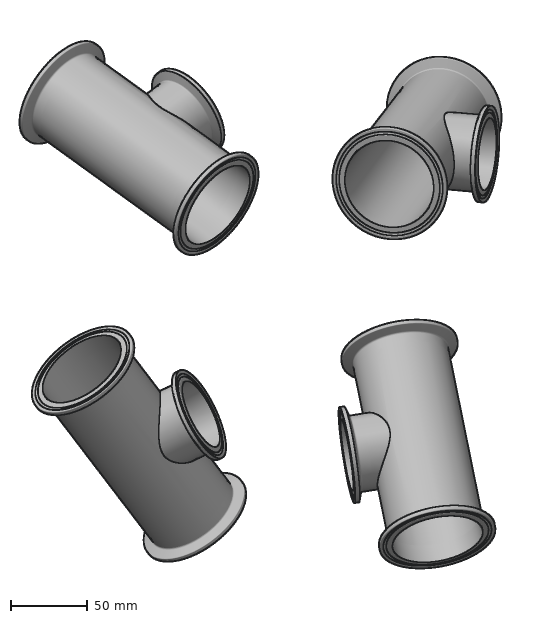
import cadquery as cq
import math

RUN_LENGTH = 144.5
RUN_TUBE_R = 63.5 / 2
RUN_BORE_R = 60.2 / 2
RUN_RIM_R = 77.5 / 2

BRANCH_REACH = 47.5
BRANCH_TUBE_R = 50.9 / 2
BRANCH_BORE_R = 47.5 / 2
BRANCH_RIM_R = 63.9 / 2

FERRULE_LENGTH = 12.7
RIM_WIDTH = 3.0
CLAMP_ANGLE = math.radians(19)
NECK_FILLET = 1.0
RUN_RIM_FILLET = 0.6

GROOVE_INSET = 3.6
GROOVE_HALF_WIDTH = 1.0
GROOVE_DEPTH = 1.3
LIP_RADIUS = 0.7

EDGE_MARGIN = 0.01


def edges_at_height(radius, z):
    """Selector for edges within this radius of the Z axis at height z."""
    reach = radius + EDGE_MARGIN
    low = (-reach, -reach, z - EDGE_MARGIN)
    high = (reach, reach, z + EDGE_MARGIN)
    return cq.selectors.BoxSelector(low, high, boundingbox=True)


def gasket_groove(groove_r):
    """Ring to cut from the end face at z = 0: round bottom and flared, rounded lips."""
    lip_r = GROOVE_HALF_WIDTH + LIP_RADIUS
    lip_mid_r = lip_r - LIP_RADIUS * math.sin(math.pi / 4)
    lip_mid_z = LIP_RADIUS * (1 - math.cos(math.pi / 4))
    return (
        cq.Workplane("XZ")
        .moveTo(groove_r - lip_r, 0)
        .threePointArc((groove_r - lip_mid_r, lip_mid_z), (groove_r - GROOVE_HALF_WIDTH, LIP_RADIUS))
        .threePointArc((groove_r, GROOVE_DEPTH), (groove_r + GROOVE_HALF_WIDTH, LIP_RADIUS))
        .threePointArc((groove_r + lip_mid_r, lip_mid_z), (groove_r + lip_r, 0))
        .close()
        .revolve(360, (0, 0, 0), (0, 1, 0))
    )


def ferrule(tube_r, bore_r, rim_r, rim_fillet=0.0):
    """Clamp ferrule around Z: end face at z = 0, body towards +Z."""
    neck_z = RIM_WIDTH + (rim_r - tube_r) * math.tan(CLAMP_ANGLE)
    body = (
        cq.Workplane("XZ")
        .polyline([
            (0, 0),
            (rim_r, 0),
            (rim_r, RIM_WIDTH),
            (tube_r, neck_z),
            (tube_r, FERRULE_LENGTH),
            (0, FERRULE_LENGTH),
        ])
        .close()
        .revolve(360, (0, 0, 0), (0, 1, 0))
        .edges(edges_at_height(tube_r, neck_z))
        .fillet(NECK_FILLET)
    )
    if rim_fillet > 0:
        rim_edges = edges_at_height(rim_r, 0) + edges_at_height(rim_r, RIM_WIDTH)
        body = body.edges(rim_edges).fillet(rim_fillet)

    bore = cq.Workplane("XY").circle(bore_r).extrude(FERRULE_LENGTH)
    return body.cut(bore).cut(gasket_groove(rim_r - GROOVE_INSET))


def cylinder_x(radius, length):
    """Cylinder along X, centred on the origin."""
    return cq.Workplane("YZ").circle(radius).extrude(length / 2, both=True)


def cylinder_y(radius, length):
    """Cylinder along +Y, starting at the origin."""
    return cq.Workplane("XZ").circle(radius).extrude(-length)


run_tube_length = RUN_LENGTH - 2 * FERRULE_LENGTH
branch_tube_length = BRANCH_REACH - FERRULE_LENGTH
tubes = (
    cylinder_x(RUN_TUBE_R, run_tube_length)
    .union(cylinder_y(BRANCH_TUBE_R, branch_tube_length))
    .cut(cylinder_x(RUN_BORE_R, run_tube_length))
    .cut(cylinder_y(BRANCH_BORE_R, branch_tube_length))
)

run_ferrule = ferrule(RUN_TUBE_R, RUN_BORE_R, RUN_RIM_R, RUN_RIM_FILLET)
left_ferrule = run_ferrule.rotate((0, 0, 0), (0, 1, 0), 90).translate((-RUN_LENGTH / 2, 0, 0))
right_ferrule = left_ferrule.mirror("YZ")
branch_ferrule = (
    ferrule(BRANCH_TUBE_R, BRANCH_BORE_R, BRANCH_RIM_R)
    .rotate((0, 0, 0), (1, 0, 0), 90)
    .translate((0, BRANCH_REACH, 0))
)

result = tubes
for end in (left_ferrule, right_ferrule, branch_ferrule):
    result = result.union(end, clean=False)